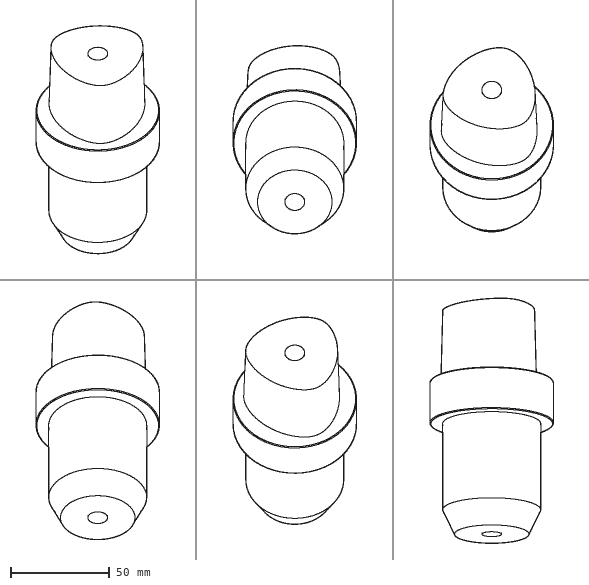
import cadquery as cq
import math

total_height = 118.0
shank_length = 38.0
flange_height = 22.0
nose_height = 12.7
shaft_height = total_height - shank_length - flange_height

flange_diameter = 63.0
flange_chamfer = 0.5
shaft_diameter = 50.0
nose_diameter = 38.0
bore_diameter = 10.0

shank_base_width = 48.9
shank_taper = 1 / 20
lobe_offset = 1.7
outline_points = 72
shank_top_width = shank_base_width - shank_taper * shank_length


def shank_outline(width):
    """Return points on the three-lobed curve of constant width, with one lobe toward -X."""
    points = []
    for index in range(outline_points):
        angle = 2 * math.pi * index / outline_points
        x = width / 2 * math.cos(angle) + lobe_offset * (math.cos(4 * angle) - 2 * math.cos(2 * angle))
        y = width / 2 * math.sin(angle) + lobe_offset * (math.sin(4 * angle) + 2 * math.sin(2 * angle))
        points.append((x, y))
    return points


def make_shaft():
    """Round shaft narrowing to a conical nose at the bottom."""
    cylinder_height = shaft_height - nose_height
    cylinder = cq.Workplane("XY").workplane(offset=nose_height).circle(shaft_diameter / 2).extrude(cylinder_height)
    nose = (
        cq.Workplane("XY")
        .circle(nose_diameter / 2)
        .workplane(offset=nose_height)
        .circle(shaft_diameter / 2)
        .loft()
    )
    return cylinder.union(nose)


def make_flange():
    """Collar with both rims lightly chamfered."""
    collar = cq.Workplane("XY").workplane(offset=shaft_height).circle(flange_diameter / 2).extrude(flange_height)
    return collar.faces("<Z or >Z").edges().chamfer(flange_chamfer)


def make_shank():
    """Three-lobed shank, tapering toward the top."""
    return (
        cq.Workplane("XY")
        .workplane(offset=shaft_height + flange_height)
        .spline(shank_outline(shank_base_width), periodic=True)
        .wire()
        .workplane(offset=shank_length)
        .spline(shank_outline(shank_top_width), periodic=True)
        .wire()
        .loft(ruled=True)
    )


bore = cq.Workplane("XY").circle(bore_diameter / 2).extrude(total_height)
result = make_shaft().union(make_flange()).union(make_shank()).cut(bore)